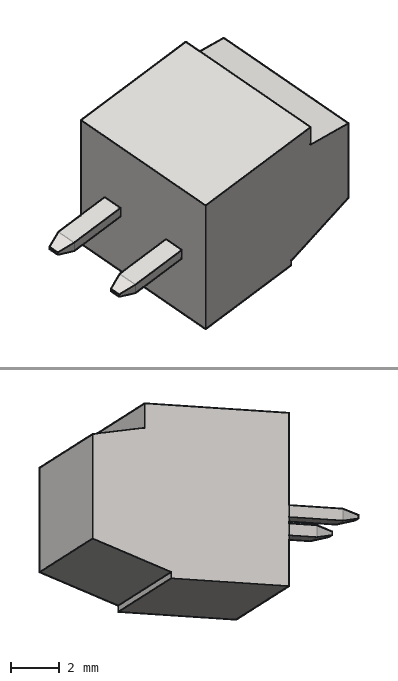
import cadquery as cq

width = 7.11
length = 12.01
height = 7.29

body_depth = 8.5
top_step_depth = 2.26
top_step_drop = 1.03
back_top_drop = 1.44
bottom_step_depth = 3.4
bottom_step_rise = 0.26
back_bottom_rise = 1.45

pin_pitch = 3.5
pin_width = 0.9
pin_height = 0.5
pin_axis_z = 3.46
tip_length = 0.75
tip_width = 0.48
tip_height = 0.15

pin_length = length - body_depth
shank_length = pin_length - tip_length


def make_housing():
    """Stepped block with its front face at Y = 0, sloping in towards the back."""
    profile = [
        (0, 0),
        (body_depth - bottom_step_depth, 0),
        (body_depth - bottom_step_depth, bottom_step_rise),
        (body_depth, back_bottom_rise),
        (body_depth, height - back_top_drop),
        (body_depth - top_step_depth, height - top_step_drop),
        (body_depth - top_step_depth, height),
        (0, height),
    ]
    return cq.Workplane("YZ").polyline(profile).close().extrude(width / 2, both=True)


def make_pin(x):
    """Rectangular pin projecting towards -Y, with a tapered tip."""
    front = cq.Workplane("XZ", origin=(x, 0, pin_axis_z))
    shank = front.rect(pin_width, pin_height).extrude(shank_length)
    tip = (
        front.workplane(offset=shank_length)
        .rect(pin_width, pin_height)
        .workplane(offset=tip_length)
        .rect(tip_width, tip_height)
        .loft(ruled=True)
    )
    return shank.union(tip)


result = make_housing()
for side in (-1, 1):
    result = result.union(make_pin(side * pin_pitch / 2))